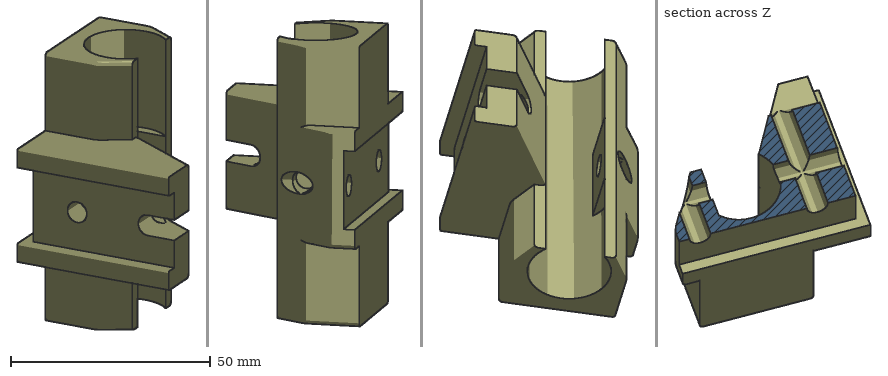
import cadquery as cq
import math

length_x = 43.0
depth_y = 49.5
height_z = 72.0

bore_x = 15.0
bore_y = 30.0
bore_radius = 10.5
clamp_length = 22.3
clamp_half_width = 15.0
clamp_corner_x = 14.55

flange_outer_z = 15.2
flange_inner_z = 10.1
web_recess_x = 2.9
web_recess_y = 3.0
foot_end_width = 10.8

taper_slope = math.tan(math.radians(30))
corner_radius = 5.0
edge_radius = 1.0
front_edge_radius = 0.5

hole_diameter = 5.5
side_hole_ys = (13.1, 44.0)
front_hole_x = 15.4
slot_end_x = 35.5

pick_tolerance = 0.1

mouth_half_width = math.sqrt(bore_radius**2 - (clamp_length - bore_x) ** 2)
mouth_low_y = bore_y - mouth_half_width
mouth_high_y = bore_y + mouth_half_width

clamp_low_y = bore_y - clamp_half_width
clamp_high_y = bore_y + clamp_half_width
clamp_taper = (clamp_length - clamp_corner_x) * taper_slope

body_corner_x = clamp_corner_x - (depth_y - clamp_high_y) / taper_slope


def prism(outline, half_height):
    """Extrude a closed XY outline symmetrically about Z = 0."""
    return cq.Workplane("XY").polyline(outline).close().extrude(half_height, both=True)


def round_upright_edge(solid, x, y):
    """Round the vertical edges that stand at the given point."""
    reach = pick_tolerance
    low = (x - reach, y - reach, -height_z)
    high = (x + reach, y + reach, height_z)
    picker = cq.selectors.BoxSelector(low, high)
    return solid.edges("|Z").edges(picker).fillet(corner_radius)


def edges_at(solid, z, keep):
    """Edges lying flat at height z whose midpoint satisfies keep(x, y)."""
    found = []
    for edge in solid.edges().vals():
        box = edge.BoundingBox()
        middle = edge.positionAt(0.5)
        is_flat = max(abs(box.zmin - z), abs(box.zmax - z)) < pick_tolerance
        if is_flat and keep(middle.x, middle.y):
            found.append(edge)
    return solid.newObject(found)


def web_zone_block(size_x, size_y):
    """Block filling the gap between the flanges, with one corner on the Z axis."""
    return cq.Workplane("XY").box(size_x, size_y, 2 * flange_inner_z, centered=(False, False, True))


def make_clamp():
    outline = [
        (0, clamp_low_y),
        (clamp_corner_x, clamp_low_y),
        (clamp_length, clamp_low_y + clamp_taper),
        (clamp_length, clamp_high_y - clamp_taper),
        (clamp_corner_x, clamp_high_y),
        (0, clamp_high_y),
    ]
    clamp = prism(outline, height_z / 2)
    for y in (clamp_low_y, clamp_high_y):
        clamp = round_upright_edge(clamp, clamp_corner_x, y)

    def on_side(x, y):
        return pick_tolerance < x < clamp_length - pick_tolerance

    for z in (-height_z / 2, height_z / 2):
        clamp = edges_at(clamp, z, on_side).fillet(edge_radius)
    return clamp


def make_body():
    outline = [
        (0, 0),
        (length_x, 0),
        (length_x, foot_end_width),
        (clamp_length, mouth_low_y),
        (clamp_length, depth_y - (clamp_length - body_corner_x) * taper_slope),
        (body_corner_x, depth_y),
        (0, depth_y),
    ]
    body = prism(outline, flange_outer_z)
    body = round_upright_edge(body, body_corner_x, depth_y)

    def on_rear_edge(x, y):
        return y > foot_end_width and pick_tolerance < x and abs(x - clamp_length) > pick_tolerance

    def on_front_edge(x, y):
        return y < pick_tolerance

    for z in (-flange_outer_z, flange_outer_z):
        body = edges_at(body, z, on_rear_edge).fillet(edge_radius)
        body = edges_at(body, z, on_front_edge).fillet(front_edge_radius)

    body = body.cut(web_zone_block(length_x, web_recess_y))
    for z in (-flange_inner_z, flange_inner_z):
        body = edges_at(body, z, on_front_edge).fillet(front_edge_radius)
    return body


def make_bore():
    """Bore through the part, leaving the web flat at the upper edge of the mouth."""
    bore = cq.Workplane("XY").center(bore_x, bore_y).circle(bore_radius).extrude(height_z / 2, both=True)
    mouth = prism(
        [
            (bore_x, mouth_low_y),
            (length_x, mouth_low_y),
            (length_x, mouth_high_y),
            (bore_x, mouth_high_y),
        ],
        height_z / 2,
    )
    web_wall = web_zone_block(length_x, depth_y).translate((0, mouth_high_y, 0))
    return bore.union(mouth).cut(web_wall)


def make_screw_holes():
    side_points = [(y, 0) for y in side_hole_ys]
    side_holes = cq.Workplane("YZ").pushPoints(side_points).circle(hole_diameter / 2).extrude(length_x)
    front_hole = cq.Workplane("XZ").center(front_hole_x, 0).circle(hole_diameter / 2).extrude(-depth_y)
    slot_end = cq.Workplane("XZ").center(slot_end_x, 0).circle(hole_diameter / 2).extrude(-depth_y)
    slot = (
        cq.Workplane("XY")
        .box(length_x - slot_end_x, depth_y, hole_diameter, centered=(False, False, True))
        .translate((slot_end_x, 0, 0))
    )
    return side_holes.union(front_hole).union(slot_end).union(slot)


side_recess = web_zone_block(web_recess_x, depth_y)
result = make_clamp().union(make_body()).cut(side_recess).cut(make_bore()).cut(make_screw_holes())